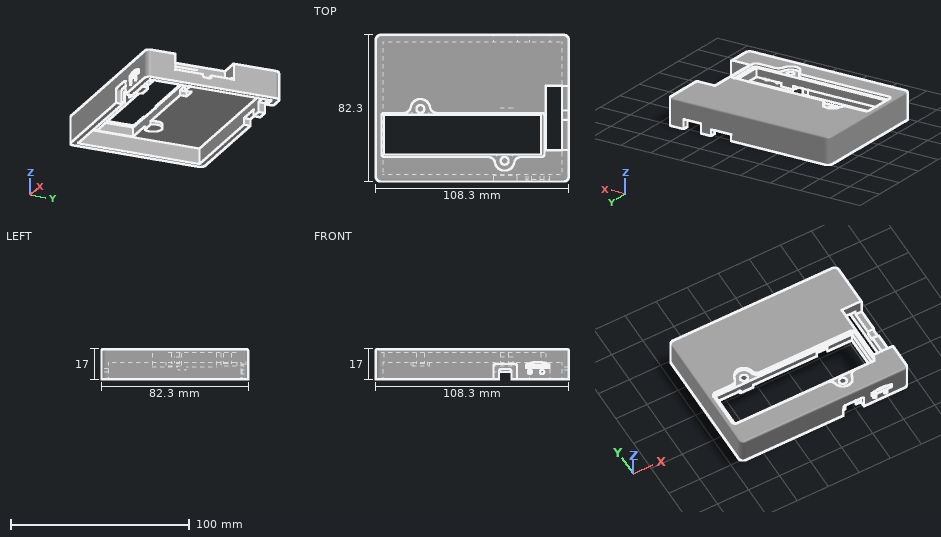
import cadquery as cq
import math

length = 108.3
width = 82.34
height = 17.0
corner_radius = 3.0
top_edge_radius = 1.15
wall = 4.0
ceiling_z = 9.4

front_y = -width / 2
back_y = width / 2
right_x = length / 2

window_left = -49.4
window_right = 38.5
window_front = -25.9
window_back = -3.8
recess_left = -51.0
recess_right = 40.6
recess_front = -27.4
recess_back = -2.6
recess_depth = 2.0
recess_corner_radius = 2.0
recess_floor_z = height - recess_depth

back_screw = (-29.1, -0.4)
front_screw = (18.1, -29.5)
lobe_radius = 5.5
lobe_blend_radius = 3.7
screw_hole_diameter = 4.4
screw_hole_depth = 6.0
boss_radius = 5.25
boss_drop = 2.0

clearance_left = 15.9
clearance_width = 7.0
clearance_depth = 4.0
clearance_height = 3.0

side_slot_left = 41.25
side_slot_front = -23.45
side_slot_back = 12.55
low_wall_z = 7.0
wall_notch_y = -4.0
wall_notch_width = 5.2
wall_notch_depth = 1.8
wall_notch_radius = 1.2

port_x = 18.45
port_recess_width = 13.4
port_recess_height = 8.7
port_recess_depth = 3.4
port_recess_radius = 1.4
port_opening_width = 6.8
port_opening_height = 5.7
port_opening_radius = 1.0

card_left = 30.2
card_right = 43.2
card_floor_z = 6.4
card_side_z = 8.3
card_crown_z = 9.8
card_relief_depth = 1.2
card_slot_height = 0.8

light_hole_xs = (32.2, 39.1)
light_hole_z = 4.2
light_hole_diameter = 2.2

back_openings = ((11.8, 25.2, 4.0), (32.0, 43.5, 6.0))

cut_margin = 1.0


def box(x_range, y_range, z_range):
    """Axis-aligned block spanning the three (low, high) ranges."""
    sizes = [high - low for low, high in (x_range, y_range, z_range)]
    return cq.Workplane().box(*sizes, centered=False).translate((x_range[0], y_range[0], z_range[0]))


def cylinder(centre, radius, bottom_z, top_z):
    """Vertical cylinder between two heights."""
    return cq.Workplane(origin=(*centre, bottom_z)).circle(radius).extrude(top_z - bottom_z)


def shell():
    """Rounded block hollowed from below."""
    body = cq.Workplane().rect(length, width).extrude(height)
    body = body.edges("|Z").fillet(corner_radius).faces(">Z").edges().fillet(top_edge_radius)
    cavity = cq.Workplane().rect(length - 2 * wall, width - 2 * wall).extrude(ceiling_z)
    return body.cut(cavity)


def lobe(centre, edge_y, outward):
    """Recess lobe around a screw, blended into the recess edge by two arcs.

    outward is +1 where the lobe bulges toward +Y and -1 toward -Y.
    """
    edge = (edge_y - centre[1]) * outward
    blend_y = edge + lobe_blend_radius
    reach = lobe_radius + lobe_blend_radius
    blend_x = math.sqrt(reach**2 - blend_y**2)
    touch_x = blend_x * lobe_radius / reach
    touch_y = blend_y * lobe_radius / reach
    middle_angle = (-math.pi / 2 + math.atan2(-blend_y, -blend_x)) / 2
    middle_x = blend_x + lobe_blend_radius * math.cos(middle_angle)
    middle_y = blend_y + lobe_blend_radius * math.sin(middle_angle)

    def place(x, y):
        return (centre[0] + x, centre[1] + y * outward)

    outline = (
        cq.Workplane(origin=(0, 0, recess_floor_z))
        .moveTo(*place(-blend_x, edge))
        .threePointArc(place(-middle_x, middle_y), place(-touch_x, touch_y))
        .threePointArc(place(0, lobe_radius), place(touch_x, touch_y))
        .threePointArc(place(middle_x, middle_y), place(blend_x, edge))
        .lineTo(*place(blend_x, edge - recess_corner_radius))
        .lineTo(*place(-blend_x, edge - recess_corner_radius))
        .close()
    )
    return outline.extrude(recess_depth)


def window_recess():
    """Recess around the window together with its two lobes."""
    frame = box((recess_left, recess_right), (recess_front, recess_back), (recess_floor_z, height))
    frame = frame.edges("|Z").fillet(recess_corner_radius)
    return frame.union(lobe(back_screw, recess_back, 1)).union(lobe(front_screw, recess_front, -1))


def window():
    """Straight opening through the top."""
    return box((window_left, window_right), (window_front, window_back), (0, height))


def clearance_pocket():
    """Pocket rising into the underside of the top behind the window."""
    return box(
        (clearance_left, clearance_left + clearance_width),
        (window_back - cut_margin, window_back + clearance_depth),
        (ceiling_z, ceiling_z + clearance_height),
    )


def side_slot():
    """Slot open to the right, deeper over the cavity than over the wall."""
    y_range = (side_slot_front, side_slot_back)
    inner = box((side_slot_left, right_x - wall), y_range, (0, height))
    outer = box((side_slot_left, right_x + cut_margin), y_range, (low_wall_z, height))
    return inner.union(outer)


def wall_notch():
    """Round-bottomed notch in the lowered part of the right wall."""
    y_range = (wall_notch_y - wall_notch_width / 2, wall_notch_y + wall_notch_width / 2)
    x_range = (right_x - wall - cut_margin, right_x + cut_margin)
    notch = box(x_range, y_range, (low_wall_z - wall_notch_depth, low_wall_z + cut_margin))
    return notch.edges("|X and <Z").fillet(wall_notch_radius)


def port_cut(cut_width, cut_height, depth, radius):
    """Cut into the front wall, open at the bottom and rounded at its upper corners."""
    block = box((port_x - cut_width / 2, port_x + cut_width / 2), (front_y, front_y + depth), (0, cut_height))
    return block.edges("|Y and >Z").fillet(radius)


def card_slot():
    """Finger relief with a ramped floor, leading to a thin slot through the wall."""
    relief = (
        cq.Workplane("XZ", origin=(0, front_y, 0))
        .moveTo(card_left, card_floor_z)
        .lineTo(card_right, card_floor_z)
        .lineTo(card_right, card_side_z)
        .threePointArc(((card_left + card_right) / 2, card_crown_z), (card_left, card_side_z))
        .close()
        .extrude(-card_relief_depth)
    )
    slot_floor_z = card_side_z - card_slot_height
    relief = relief.edges("|X and >Y and <Z").chamfer(slot_floor_z - card_floor_z)
    slot = box((card_left, card_right), (front_y, front_y + wall), (slot_floor_z, card_side_z))
    return relief.union(slot)


def light_holes():
    """Pair of round holes through the front wall."""
    return (
        cq.Workplane("XZ", origin=(0, front_y, 0))
        .pushPoints([(x, light_hole_z) for x in light_hole_xs])
        .circle(light_hole_diameter / 2)
        .extrude(-wall)
    )


result = shell()
for screw in (back_screw, front_screw):
    result = result.union(cylinder(screw, boss_radius, ceiling_z - boss_drop, recess_floor_z))
result = result.cut(window()).cut(window_recess()).cut(clearance_pocket())
for screw in (back_screw, front_screw):
    hole_bottom_z = recess_floor_z - screw_hole_depth
    result = result.cut(cylinder(screw, screw_hole_diameter / 2, hole_bottom_z, recess_floor_z))

result = result.cut(side_slot()).cut(wall_notch())
result = result.cut(port_cut(port_recess_width, port_recess_height, port_recess_depth, port_recess_radius))
result = result.cut(port_cut(port_opening_width, port_opening_height, wall, port_opening_radius))
result = result.cut(card_slot()).cut(light_holes())
for left, right, top_z in back_openings:
    result = result.cut(box((left, right), (back_y - wall, back_y), (0, top_z)))